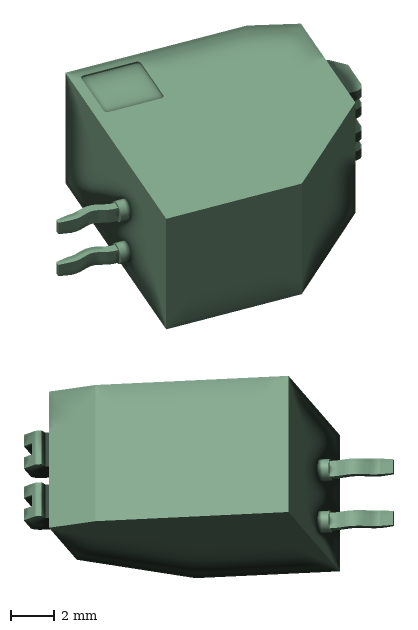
import cadquery as cq
import math


total_length = 16.6

housing_width = 12.0
housing_depth = 11.52
housing_height = 6.5
left_bevel_width = 0.85
left_bevel_depth = 2.37
right_bevel = 4.68

recess_side = 3.0
recess_margin = 0.51
recess_corner_radius = 0.18
recess_depth = 0.1

pole_count = 2
pole_pitch = 2.47
first_pin_z = 1.25
first_lever_z = 1.68

lever_left = 2.5
lever_right = 4.71
lever_height = 1.58
lever_thickness = 1.61
lever_corner_radius = 0.45
nose_tip_x = 2.03
nose_root_height = 0.5
nose_low_height = 0.6
nose_high_height = 0.88
nose_radius = 0.2
notch_width = 0.53
notch_depth = 0.48

collar_diameter = 1.01
collar_length = 0.51
pin_x = 7.3
pin_thickness = 0.43
pin_width = 0.75
pin_length = total_length - housing_depth - lever_height
tip_start = 2.89
tip_thickness = 0.25
tip_width = 0.66

kink_crest = 1.71
kink_angle = math.radians(20.4)
kink_radius = 1.03
kink_straight_length = 0.37

overlap = 0.17


def make_housing():
    return (
        cq.Workplane("XY")
        .moveTo(0, 0)
        .lineTo(housing_width, 0)
        .lineTo(housing_width, housing_depth - right_bevel)
        .lineTo(housing_width - right_bevel, housing_depth)
        .lineTo(left_bevel_width, housing_depth)
        .lineTo(0, housing_depth - left_bevel_depth)
        .close()
        .extrude(housing_height)
    )


def make_recess():
    recess_center = recess_margin + recess_side / 2
    return (
        cq.Workplane("XY")
        .box(recess_side, recess_side, recess_depth, centered=(True, True, False))
        .edges("|Z")
        .fillet(recess_corner_radius)
        .translate((recess_center, recess_center, housing_height - recess_depth))
    )


def make_lever(center_z):
    """Hooked lever with a notch across its free end."""
    nose_slope_run = lever_height - nose_high_height
    lever = (
        cq.Workplane("XY")
        .moveTo(lever_left, -overlap)
        .lineTo(lever_right, -overlap)
        .lineTo(lever_right, lever_height)
        .lineTo(nose_tip_x + nose_slope_run, lever_height)
        .lineTo(nose_tip_x, nose_high_height)
        .lineTo(nose_tip_x, nose_low_height)
        .lineTo(lever_left, nose_root_height)
        .close()
        .extrude(lever_thickness / 2, both=True)
    )
    lever = lever.edges("|Z and >X and >Y").fillet(lever_corner_radius)
    upper_nose_corner = cq.selectors.NearestToPointSelector((nose_tip_x, nose_high_height, 0))
    lever = lever.edges("|Z").edges(upper_nose_corner).fillet(nose_radius)
    notch = (
        cq.Workplane("XY")
        .box(lever_right - nose_tip_x, notch_depth, notch_width, centered=(False, False, True))
        .translate((nose_tip_x, lever_height - notch_depth, 0))
    )
    return lever.cut(notch).translate((0, housing_depth, center_z))


def make_kinked_blade():
    """Constant section swept from the collar root, around the kink, to the tip."""
    arc_run = kink_radius * math.sin(kink_angle)
    arc_shift = kink_radius * (1 - math.cos(kink_angle))
    half_arc_run = kink_radius * math.sin(kink_angle / 2)
    half_arc_shift = kink_radius * (1 - math.cos(kink_angle / 2))
    straight_run = kink_straight_length * math.cos(kink_angle)
    straight_shift = kink_straight_length * math.sin(kink_angle)

    crest_shift = 2 * arc_shift + straight_shift
    kink_half_run = 2 * arc_run + straight_run
    kink_start = kink_crest - kink_half_run
    kink_end = kink_crest + kink_half_run

    path = (
        cq.Workplane("XY")
        .moveTo(0, overlap)
        .lineTo(0, -kink_start)
        .threePointArc(
            (-half_arc_shift, -kink_start - half_arc_run),
            (-arc_shift, -kink_start - arc_run),
        )
        .lineTo(arc_shift - crest_shift, arc_run - kink_crest)
        .threePointArc((-crest_shift, -kink_crest), (arc_shift - crest_shift, -arc_run - kink_crest))
        .lineTo(-arc_shift, arc_run - kink_end)
        .threePointArc((-half_arc_shift, half_arc_run - kink_end), (0, -kink_end))
        .lineTo(0, -tip_start)
    )
    return (
        cq.Workplane("XZ", origin=(0, overlap, 0))
        .rect(pin_thickness, pin_width)
        .sweep(path)
    )


def make_pin(center_z):
    """Round collar, kinked flat blade and tapered tip."""
    collar = (
        cq.Workplane("XZ", origin=(0, overlap, 0))
        .circle(collar_diameter / 2)
        .extrude(collar_length + overlap)
    )
    tip = (
        cq.Workplane("XZ", origin=(0, -tip_start, 0))
        .rect(pin_thickness, pin_width)
        .workplane(offset=pin_length - tip_start)
        .rect(tip_thickness, tip_width)
        .loft()
    )
    return collar.union(make_kinked_blade()).union(tip).translate((pin_x, 0, center_z))


result = make_housing().cut(make_recess())
for pole in range(pole_count):
    pole_offset = pole * pole_pitch
    result = result.union(make_lever(first_lever_z + pole_offset))
    result = result.union(make_pin(first_pin_z + pole_offset))